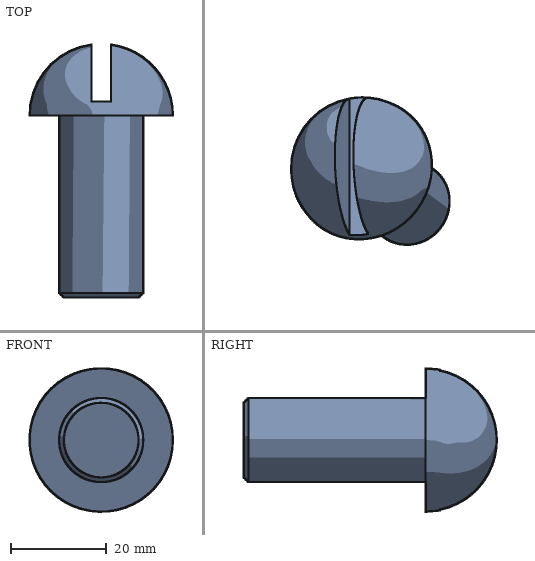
import cadquery as cq

head_radius = 15.0
shank_diameter = 17.6
shank_length = 38.0
end_chamfer = 1.0
slot_width = 4.0
slot_depth = 12.0

shank_radius = shank_diameter / 2
slot_floor_y = head_radius - slot_depth
arc_mid = head_radius * 0.5 ** 0.5


def revolved_pin():
    """Hemispherical head and chamfered shank, revolved about the Y axis."""
    profile = (
        cq.Workplane("XY")
        .moveTo(0, -shank_length)
        .lineTo(shank_radius - end_chamfer, -shank_length)
        .lineTo(shank_radius, -shank_length + end_chamfer)
        .lineTo(shank_radius, 0)
        .lineTo(head_radius, 0)
        .threePointArc((arc_mid, arc_mid), (0, head_radius))
        .close()
    )
    return profile.revolve(360, (0, 0, 0), (0, 1, 0))


def driver_slot():
    """Straight slot along Z, open at the crown and at both sides of the head."""
    return (
        cq.Workplane("XY")
        .box(slot_width, slot_depth, 2 * head_radius, centered=(True, False, True))
        .translate((0, slot_floor_y, 0))
    )


result = revolved_pin().cut(driver_slot())